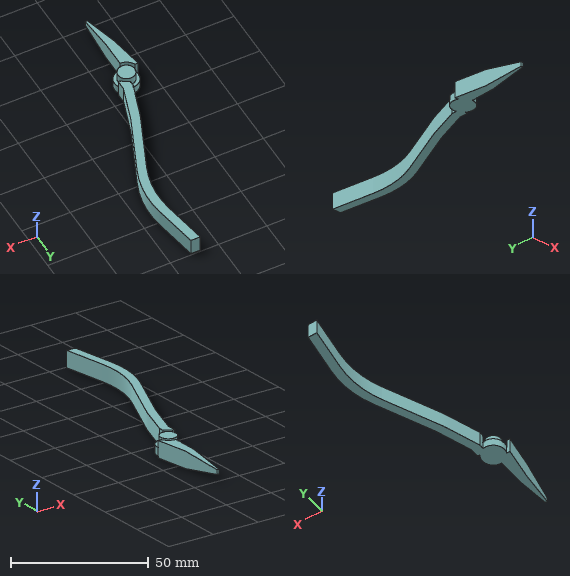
import cadquery as cq
import math

thickness = 7.0
mid_height = thickness / 2

lap_height = mid_height
disc_radius = 5.0
pin_radius = 3.5

jaw_shoulder_y = -2.0
jaw_shoulder_width = 6.0
jaw_tip_y = -32.0
jaw_tip_width = 1.0
taper_start_y = -16.0
tip_height = 2.0

handle_width = 4.0
handle_start_y = 3.0
handle_straight_end = (1.0, 7.0)
lower_bend = (6.0, 22.0)
upper_bend = (21.0, 57.0)
handle_end = (16.0, 87.0)
bend_radius = 40.0


def make_jaw():
    """Slanted jaw whose top and bottom faces converge toward the tip."""
    plan = (
        cq.Workplane("XY")
        .moveTo(0, jaw_shoulder_y)
        .lineTo(0, jaw_tip_y)
        .lineTo(-jaw_tip_width, jaw_tip_y)
        .lineTo(-jaw_shoulder_width, jaw_shoulder_y)
        .close()
        .extrude(thickness)
    )
    side_profile = (
        cq.Workplane("YZ")
        .moveTo(jaw_shoulder_y, 0)
        .lineTo(taper_start_y, 0)
        .lineTo(jaw_tip_y, mid_height - tip_height / 2)
        .lineTo(jaw_tip_y, mid_height + tip_height / 2)
        .lineTo(taper_start_y, thickness)
        .lineTo(jaw_shoulder_y, thickness)
        .close()
        .extrude(-jaw_shoulder_width)
    )
    return plan.intersect(side_profile)


def bend_arc(before, corner, after):
    """Start, middle and end of the arc that rounds the corner between two straight runs."""
    corner = cq.Vector(*corner)
    backward = (cq.Vector(*before) - corner).normalized()
    forward = (cq.Vector(*after) - corner).normalized()
    half_angle = backward.getAngle(forward) / 2
    tangent_length = bend_radius / math.tan(half_angle)
    center_distance = bend_radius / math.sin(half_angle)
    inward = (backward + forward).normalized()
    start = corner + backward * tangent_length
    middle = corner + inward * (center_distance - bend_radius)
    end = corner + forward * tangent_length
    return start, middle, end


def make_handle():
    """Bar with both bends rounded, its right side a copy of the left side shifted along X."""
    lower_arc = bend_arc(handle_straight_end, lower_bend, upper_bend)
    upper_arc = bend_arc(lower_bend, upper_bend, handle_end)
    straight_x, straight_y = handle_straight_end
    end_x, end_y = handle_end
    shift = cq.Vector(handle_width, 0)

    outline = cq.Workplane("XY").moveTo(straight_x, handle_start_y).lineTo(straight_x, straight_y)
    for start, middle, end in (lower_arc, upper_arc):
        outline = outline.lineTo(start.x, start.y).threePointArc(middle, end)
    outline = outline.lineTo(end_x, end_y).lineTo(end_x + handle_width, end_y)
    for start, middle, end in (upper_arc, lower_arc):
        right_end = end + shift
        outline = outline.lineTo(right_end.x, right_end.y).threePointArc(middle + shift, start + shift)
    outline = outline.lineTo(straight_x + handle_width, straight_y)
    outline = outline.lineTo(straight_x + handle_width, handle_start_y)
    return outline.close().extrude(thickness)


def make_pivot():
    """Lap disc with the pin standing on it."""
    disc = cq.Workplane("XY").circle(disc_radius).extrude(lap_height)
    pin = cq.Workplane("XY").circle(pin_radius).extrude(thickness)
    return disc.union(pin)


def make_lap_clearance():
    """Space above the lap disc that the disc of the other half occupies."""
    return cq.Workplane("XY").workplane(offset=lap_height).circle(disc_radius).extrude(thickness - lap_height)


arms = make_jaw().union(make_handle())
result = arms.cut(make_lap_clearance()).union(make_pivot())